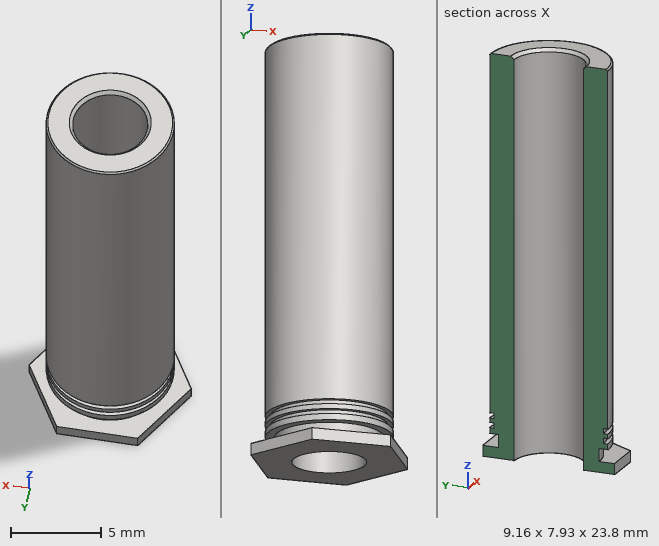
import cadquery as cq
import math

total_height = 23.8
hex_across_flats = 7.93
hex_thickness = 0.67

barrel_diameter = 7.12
groove_diameter = 6.6
neck_diameter = 6.1
bore_diameter = 4.17

neck_length = 0.75
collar_height = 0.35
groove_width = 0.29
groove_count = 2
groove_pitch = 2 * groove_width

rim_chamfer = 0.1
bore_chamfer = 0.2

collar_bottom = hex_thickness + neck_length
first_groove_bottom = collar_bottom + collar_height


def make_hex_head():
    """Thin hexagonal flange with corners on the X axis."""
    across_corners = hex_across_flats / math.cos(math.pi / 6)
    return cq.Workplane("XY").polygon(6, across_corners).extrude(hex_thickness)


def make_neck():
    """Undercut between the hexagon and the barrel."""
    return cq.Workplane("XY").circle(neck_diameter / 2).extrude(collar_bottom)


def make_barrel():
    """Long cylinder with a broken top rim."""
    barrel = (
        cq.Workplane("XY")
        .workplane(offset=collar_bottom)
        .circle(barrel_diameter / 2)
        .extrude(total_height - collar_bottom)
    )
    return barrel.faces(">Z").edges().chamfer(rim_chamfer)


def make_groove(bottom):
    """Ring to cut for one square groove, reaching well outside the barrel."""
    cutter_radius = barrel_diameter
    return (
        cq.Workplane("XY")
        .workplane(offset=bottom)
        .circle(cutter_radius)
        .circle(groove_diameter / 2)
        .extrude(groove_width)
    )


body = make_hex_head().union(make_neck()).union(make_barrel())

for index in range(groove_count):
    body = body.cut(make_groove(first_groove_bottom + index * groove_pitch))

body = body.cut(cq.Workplane("XY").circle(bore_diameter / 2).extrude(total_height))
mouth_edge = cq.selectors.RadiusNthSelector(0)
result = body.faces(">Z").edges(mouth_edge).chamfer(bore_chamfer)